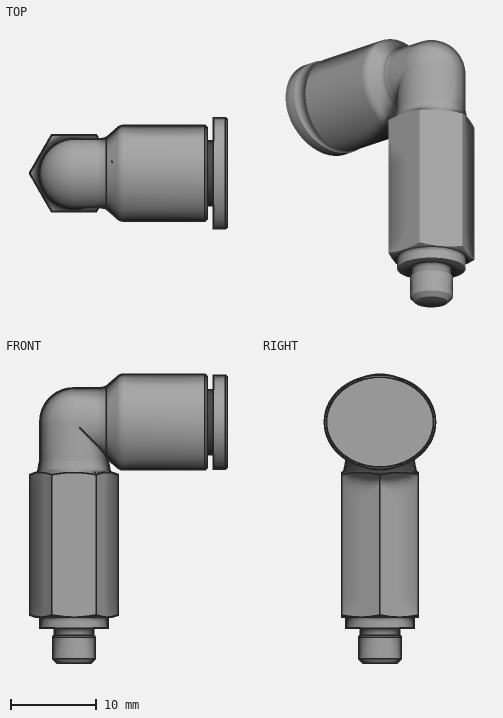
import cadquery as cq
import math

socket_axis_z = 28.2
overall_length_x = 23.15
elbow_radius = 4.0

thread_radius = 2.5
thread_tip_chamfer = 0.55
thread_top_z = 3.05
neck_radius = 2.3
neck_cone_top_z = thread_top_z + (thread_radius - neck_radius)
collar_bottom_z = 4.1

hex_flats = 9.0
hex_corner_radius = hex_flats / math.sqrt(3)
hex_bottom_z = 5.4
hex_top_z = 22.3
bevel_slope = math.tan(math.radians(20))
bevel_radius = hex_flats / 2
bevel_rise = (hex_corner_radius - bevel_radius) * bevel_slope

foot_radius = 4.2
foot_fillet = bevel_radius - foot_radius
foot_bottom_z = hex_top_z + foot_fillet
foot_top_z = 23.7

sleeve_radius = 5.6
flare_start_x = 3.1
flare_end_x = 3.75
shoulder_angle = math.radians(41)
shoulder_blend_radius = 1.0
shoulder_end_x = 5.8
sleeve_end_x = 15.6
sleeve_chamfer = 0.3

button_neck_radius = 3.8
button_start_x = 16.3
button_end_x = overall_length_x - hex_corner_radius
button_width = 13.0
button_height = 11.0
button_chamfer = 0.25


def make_spigot():
    """Thread, undercut neck and collar below the hexagon."""
    profile = [
        (0, 0),
        (thread_radius - thread_tip_chamfer, 0),
        (thread_radius, thread_tip_chamfer),
        (thread_radius, thread_top_z),
        (neck_radius, neck_cone_top_z),
        (neck_radius, collar_bottom_z),
        (elbow_radius, collar_bottom_z),
        (elbow_radius, hex_bottom_z),
        (0, hex_bottom_z),
    ]
    return cq.Workplane("XZ").polyline(profile).close().revolve(360, (0, 0), (0, 1))


def make_hexagon():
    """Hexagonal prism with conically bevelled corners at both ends."""
    prism = (
        cq.Workplane("XY")
        .workplane(offset=hex_bottom_z)
        .polygon(6, 2 * hex_corner_radius)
        .extrude(hex_top_z - hex_bottom_z)
    )
    envelope_profile = [
        (0, hex_bottom_z),
        (bevel_radius, hex_bottom_z),
        (hex_corner_radius, hex_bottom_z + bevel_rise),
        (hex_corner_radius, hex_top_z - bevel_rise),
        (bevel_radius, hex_top_z),
        (0, hex_top_z),
    ]
    envelope = cq.Workplane("XZ").polyline(envelope_profile).close().revolve(360, (0, 0), (0, 1))
    return prism.intersect(envelope)


def make_elbow():
    """Vertical leg with a flared and filleted foot, closed by a ball at the socket axis."""
    fillet_reach = foot_fillet * (1 - math.sin(math.radians(45)))
    fillet_middle = (foot_radius + fillet_reach, hex_top_z + fillet_reach)
    profile = (
        cq.Workplane("XZ")
        .moveTo(0, hex_top_z)
        .lineTo(bevel_radius, hex_top_z)
        .threePointArc(fillet_middle, (foot_radius, foot_bottom_z))
        .lineTo(elbow_radius, foot_top_z)
        .lineTo(elbow_radius, socket_axis_z)
        .lineTo(0, socket_axis_z)
        .close()
    )
    leg = profile.revolve(360, (0, 0), (0, 1))
    ball = cq.Workplane("XY").sphere(elbow_radius).translate((0, 0, socket_axis_z))
    return leg.union(ball)


def make_sleeve():
    """Horizontal leg widening through a smoothly blended conical shoulder, with the button neck."""
    def blend_point(angle):
        """Point on the blend arc, by its angle from the arc's end on the sleeve."""
        return (
            shoulder_end_x - shoulder_blend_radius * math.sin(angle),
            sleeve_radius - shoulder_blend_radius * (1 - math.cos(angle)),
        )

    blend_start_x, blend_start_radius = blend_point(shoulder_angle)
    flare_end_radius = blend_start_radius - (blend_start_x - flare_end_x) * math.tan(shoulder_angle)
    profile = (
        cq.Workplane("XZ", origin=(0, 0, socket_axis_z))
        .moveTo(0, 0)
        .lineTo(0, elbow_radius)
        .lineTo(flare_start_x, elbow_radius)
        .lineTo(flare_end_x, flare_end_radius)
        .lineTo(blend_start_x, blend_start_radius)
        .threePointArc(blend_point(shoulder_angle / 2), (shoulder_end_x, sleeve_radius))
        .lineTo(sleeve_end_x - sleeve_chamfer, sleeve_radius)
        .lineTo(sleeve_end_x, sleeve_radius - sleeve_chamfer)
        .lineTo(sleeve_end_x, button_neck_radius)
        .lineTo(button_start_x, button_neck_radius)
        .lineTo(button_start_x, 0)
        .close()
    )
    return profile.revolve(360, (0, 0), (1, 0))


def make_button():
    """Oval release button, wider in Y than in Z, bevelled on its outer rim."""
    return (
        cq.Workplane("YZ", origin=(button_start_x, 0, socket_axis_z))
        .ellipse(button_width / 2, button_height / 2)
        .extrude(button_end_x - button_start_x)
        .faces(">X")
        .chamfer(button_chamfer)
    )


result = (
    make_spigot()
    .union(make_hexagon())
    .union(make_elbow())
    .union(make_sleeve())
    .union(make_button())
)